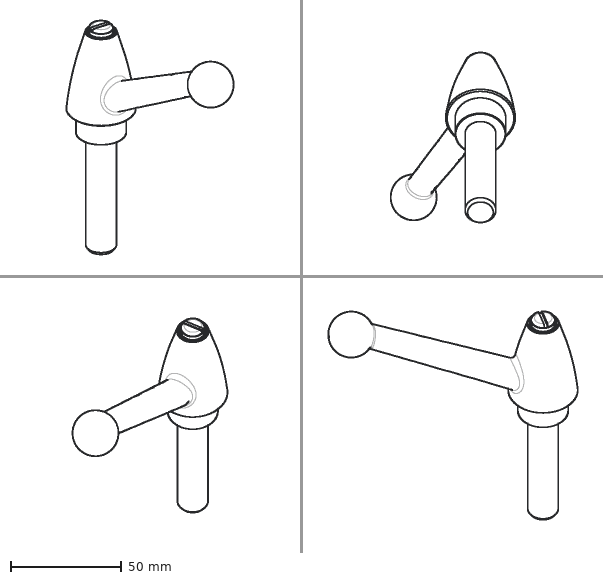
import cadquery as cq
import math


STUD_DIAMETER = 14.0
STUD_LENGTH = 60.0
STUD_CHAMFER_HEIGHT = 1.7
STUD_CHAMFER_WIDTH = 1.2
COLLAR_DIAMETER = 23.0
COLLAR_HEIGHT = 12.0
COLLAR_CHAMFER = 0.3

HUB_BASE_DIAMETER = 31.66
HUB_TOP_DIAMETER = 14.5
HUB_HEIGHT = 41.0
HUB_BULGE = 1.15
HUB_BASE_CHAMFER = 0.7
HUB_RIM_CHAMFER = 0.4
RECESS_DIAMETER = 11.2
RECESS_DEPTH = 2.0
RECESS_CHAMFER = 0.5
RECESS_CHAMFER_ANGLE = 45.0

SCREW_NECK_DIAMETER = 10.4
SCREW_NECK_RISE = 1.4
SCREW_HEAD_DIAMETER = 11.0
SCREW_HEAD_HEIGHT = 1.6
SCREW_HEAD_EDGE = 1.5
SLOT_WIDTH = 1.7
SLOT_DEPTH = 1.5

TOTAL_LENGTH = 116.83
TOTAL_HEIGHT = 138.0
BALL_DIAMETER = 21.0

ARM_ANGLE = 30.0
ARM_ROOT_Z = 17.4
ARM_LENGTH = 102.0
ARM_ROOT_HEIGHT = 14.4
ARM_ROOT_WIDTH = 14.9
ARM_TIP_HEIGHT = 10.6
ARM_TIP_WIDTH = 12.0
ARM_HUB_FILLET = 2.0
ARM_BALL_FILLET = 1.5

hub_base_radius = HUB_BASE_DIAMETER / 2
hub_top_radius = HUB_TOP_DIAMETER / 2
hub_bottom_z = COLLAR_HEIGHT
hub_top_z = hub_bottom_z + HUB_HEIGHT
ball_radius = BALL_DIAMETER / 2
ball_x = TOTAL_LENGTH - hub_base_radius - ball_radius
ball_z = TOTAL_HEIGHT - STUD_LENGTH - ball_radius


def cylinder(diameter, height, bottom_z):
    return cq.Workplane("XY").workplane(offset=bottom_z).circle(diameter / 2).extrude(height)


def make_stud():
    stud = cylinder(STUD_DIAMETER, STUD_LENGTH, -STUD_LENGTH)
    return stud.faces("<Z").chamfer(STUD_CHAMFER_HEIGHT, STUD_CHAMFER_WIDTH)


def make_collar():
    return cylinder(COLLAR_DIAMETER, COLLAR_HEIGHT, 0).faces("<Z").chamfer(COLLAR_CHAMFER)


def make_hub():
    flank_base_z = hub_bottom_z + HUB_BASE_CHAMFER
    flank_base = (hub_base_radius, flank_base_z)
    flank_top_z = hub_top_z - HUB_RIM_CHAMFER
    flank_top = (hub_top_radius, flank_top_z)
    flank_run = hub_base_radius - hub_top_radius
    flank_rise = flank_top_z - flank_base_z
    chord = math.hypot(flank_run, flank_rise)
    flank_middle = (
        (hub_base_radius + hub_top_radius) / 2 + HUB_BULGE * flank_rise / chord,
        (flank_base_z + flank_top_z) / 2 + HUB_BULGE * flank_run / chord,
    )
    profile = (
        cq.Workplane("XZ")
        .moveTo(0, hub_bottom_z)
        .lineTo(hub_base_radius - HUB_BASE_CHAMFER, hub_bottom_z)
        .lineTo(*flank_base)
        .threePointArc(flank_middle, flank_top)
        .lineTo(hub_top_radius - HUB_RIM_CHAMFER, hub_top_z)
        .lineTo(0, hub_top_z)
        .close()
    )
    hub = profile.revolve(360, (0, 0, 0), (0, 1, 0))
    return hub.rotate((0, 0, 0), (0, 0, 1), 180)


def make_arm():
    angle = math.radians(ARM_ANGLE)
    root_plane = cq.Plane(
        origin=(0, 0, ARM_ROOT_Z),
        xDir=(0, 1, 0),
        normal=(math.cos(angle), 0, math.sin(angle)),
    )
    return (
        cq.Workplane(root_plane)
        .ellipse(ARM_ROOT_WIDTH / 2, ARM_ROOT_HEIGHT / 2)
        .workplane(offset=ARM_LENGTH)
        .ellipse(ARM_TIP_WIDTH / 2, ARM_TIP_HEIGHT / 2)
        .loft(ruled=True)
    )


def make_ball():
    return cq.Workplane("XY").sphere(ball_radius).translate((ball_x, 0, ball_z))


def make_recess():
    recess = cylinder(RECESS_DIAMETER, RECESS_DEPTH, hub_top_z - RECESS_DEPTH)
    mouth = (
        cq.Workplane("XY")
        .workplane(offset=hub_top_z)
        .circle(RECESS_DIAMETER / 2 + RECESS_CHAMFER)
        .extrude(-RECESS_CHAMFER, taper=RECESS_CHAMFER_ANGLE)
    )
    return recess.union(mouth)


def make_lever():
    handle = make_arm().union(make_ball())
    handle = handle.edges("%BSPLINE").fillet(ARM_BALL_FILLET)
    lever = make_hub().union(handle)
    hub_joint = cq.selectors.BoxSelector(
        (0, -hub_base_radius, hub_bottom_z),
        (hub_base_radius, hub_base_radius, hub_top_z),
    )
    lever = lever.edges(hub_joint).edges("%BSPLINE").fillet(ARM_HUB_FILLET)
    return lever.cut(make_recess())


def make_screw():
    head_bottom_z = hub_top_z + SCREW_NECK_RISE
    neck = cylinder(SCREW_NECK_DIAMETER, RECESS_DEPTH + SCREW_NECK_RISE, hub_top_z - RECESS_DEPTH)
    head = cylinder(SCREW_HEAD_DIAMETER, SCREW_HEAD_HEIGHT, head_bottom_z)
    head = head.faces(">Z").edges().fillet(SCREW_HEAD_EDGE)
    slot_bottom_z = head_bottom_z + SCREW_HEAD_HEIGHT - SLOT_DEPTH
    slot = (
        cq.Workplane("XY")
        .workplane(offset=slot_bottom_z)
        .rect(SLOT_WIDTH, SCREW_HEAD_DIAMETER)
        .extrude(SLOT_DEPTH)
    )
    return neck.union(head).cut(slot)


result = make_lever().union(make_collar()).union(make_stud()).union(make_screw())